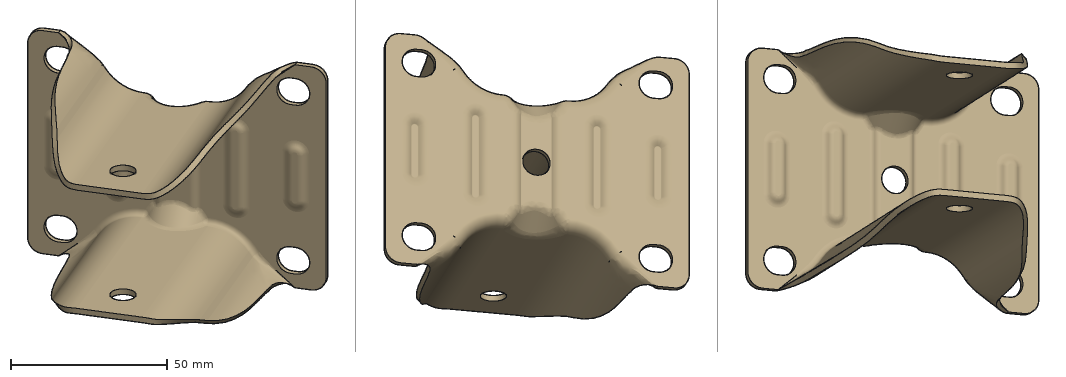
import cadquery as cq
import math

SHEET = 2.0
PLATE_LENGTH = 100.0
PLATE_HEIGHT = 79.3
PLATE_CORNER_RADIUS = 5.0
REACH = 74.0

FLAT_HALF_WIDTH = 11.0
FLAT_INNER_Z = 21.0
FLARE_ANGLE = math.radians(54)
FLARE_INNER_RADIUS = 17.0
FLARE_STRAIGHT = 2.3
COUNTER_INNER_RADIUS = 19.0

BEND_INNER_RADIUS = 2.0
ROOT_DEPTH = 12.0

WING_TIP_X = 39.6
WING_BEND_HEIGHT = 8.5
WING_BEND_GROWTH = 1.5
WING_LEAD = 4.0

WING_EDGE = (28.2, SHEET + WING_BEND_HEIGHT)
LEG_ROOT_EDGE = (27.9, ROOT_DEPTH)
LEG_ROOT_DIRECTION = (-0.1, 1.0)
LEG_SIDE_POINTS = [(26.1, 30.0), (21.3, 45.4), (14.7, 57.2), (9.2, 67.0), (5.2, 72.2)]

GUSSET_RADIUS = 12.0
GUSSET_SETBACK = 8.0

BEAD_RISE = 1.4
FLANK_FOOT_RADIUS = 2.8
FLANK_TOP_RADIUS = 2.5
BEAD_TOP_HALF_WIDTH = 0.9
INNER_BEAD = (20.0, 13.2)
OUTER_BEAD = (40.0, 8.2)
CHANNEL_FOOT_RADIUS = 2.0
CHANNEL_TOP_HALF_WIDTH = 4.8
CHANNEL_HALF_LENGTH = 19.0

CENTER_HOLE = 9.0
AXLE_HOLE = 8.4
AXLE_DEPTH = 60.0
MOUNT_SLOT_LENGTH = 11.0
MOUNT_SLOT_WIDTH = 9.4
MOUNT_SPACING_X = 78.0
MOUNT_SPACING_Z = 60.0

TOLERANCE = 0.01
WING_FIT = 0.01
JOIN_TOLERANCE = 0.005
WING_ROWS = 10
WING_COLUMNS = 20
OUTLINE_SAMPLES = 40
STRIP_MARGIN = 1.0
STRIP_END = LEG_ROOT_EDGE[0] + STRIP_MARGIN


SIN_FLARE = math.sin(FLARE_ANGLE)
COS_FLARE = math.cos(FLARE_ANGLE)
MID = SHEET / 2
ARC_LENGTH = (FLARE_INNER_RADIUS - MID) * FLARE_ANGLE
STRAIGHT_END = ARC_LENGTH + FLARE_STRAIGHT


def section_point(distance, offset):
    """XZ point at a mid-sheet distance from the flat's end, offset outward from the inner face."""
    flare_radius = FLARE_INNER_RADIUS - offset
    center_z = FLAT_INNER_Z + FLARE_INNER_RADIUS
    if distance <= ARC_LENGTH:
        angle = distance / (FLARE_INNER_RADIUS - MID)
        return (FLAT_HALF_WIDTH + flare_radius * math.sin(angle), center_z - flare_radius * math.cos(angle))
    x = FLAT_HALF_WIDTH + flare_radius * SIN_FLARE
    z = center_z - flare_radius * COS_FLARE
    run = min(distance - ARC_LENGTH, FLARE_STRAIGHT)
    x += run * COS_FLARE
    z += run * SIN_FLARE
    if distance <= STRAIGHT_END:
        return (x, z)
    turn = (distance - STRAIGHT_END) / (COUNTER_INNER_RADIUS + MID)
    radius = COUNTER_INNER_RADIUS + offset
    angle = FLARE_ANGLE - turn
    return (x + radius * (SIN_FLARE - math.sin(angle)), z + radius * (math.cos(angle) - COS_FLARE))


def spatial(point, depth):
    """XZ section point placed at a depth below the plate's back face."""
    return cq.Vector(point[0], -depth, point[1])


INNER_END = section_point(STRAIGHT_END, 0)
FOOT_END = section_point(STRAIGHT_END, -BEND_INNER_RADIUS)
CORE_CORNER = section_point(STRAIGHT_END, -2 * BEND_INNER_RADIUS)


def bead_half_profile(top_half_width, foot_radius, top_radius, offset):
    """Half of a bead's XY cross-section, at an offset from the plate's front skin toward its back.

    Flat top, then an S-shaped flank of two tangent arcs that keep their centers at every offset.
    """
    skin = -SHEET + offset
    turn = math.acos(1 - BEAD_RISE / (foot_radius + top_radius))
    foot_half_width = top_half_width + (foot_radius + top_radius) * math.sin(turn)
    outer_radius = foot_radius + offset
    inner_radius = top_radius - offset
    top = skin - BEAD_RISE

    def on_foot(angle):
        return (foot_half_width - outer_radius * math.sin(angle), skin - outer_radius * (1 - math.cos(angle)))

    def on_top(angle):
        return (top_half_width + inner_radius * math.sin(angle), top + inner_radius * (1 - math.cos(angle)))

    return (
        cq.Workplane("XY")
        .moveTo(0, skin)
        .lineTo(0, top)
        .lineTo(top_half_width, top)
        .threePointArc(on_top(turn / 2), on_top(turn))
        .threePointArc(on_foot(turn / 2), on_foot(0))
        .close()
    )


def bead(half_length, offset):
    """Upper half of an upright bead with a rounded end, centered on the Y axis."""
    shape = (BEAD_TOP_HALF_WIDTH, FLANK_FOOT_RADIUS, FLANK_TOP_RADIUS, offset)
    side = bead_half_profile(*shape).extrude(half_length)
    end = bead_half_profile(*shape).revolve(360, (0, 0), (0, 1)).translate((0, 0, half_length))
    return side.union(side.mirror("YZ")).union(end)


def channel():
    """Upper half of the plate's raised strip, which runs into the gusset."""
    shape = (CHANNEL_TOP_HALF_WIDTH, CHANNEL_FOOT_RADIUS, FLANK_TOP_RADIUS, 0)
    side = bead_half_profile(*shape).extrude(CHANNEL_HALF_LENGTH)
    return side.union(side.mirror("YZ"))


def gusset():
    """45-degree cylinder across the bend; its crown is the gusset's ridge."""
    drop = GUSSET_SETBACK / 2 - GUSSET_RADIUS * math.sqrt(0.5)
    direction = cq.Vector(0, -1, 1).normalized()
    base = cq.Vector(0, -SHEET - drop, FLAT_INNER_Z - drop)
    start = base - direction * REACH
    return cq.Workplane(cq.Solid.makeCylinder(GUSSET_RADIUS, 2 * REACH, start, direction))


def core_cavity():
    """Quarter of the space bounded by the core's inner faces, with the bends rounded."""
    block = (
        cq.Workplane("XZ", origin=(0, -SHEET, 0))
        .lineTo(0, FLAT_INNER_Z)
        .lineTo(FLAT_HALF_WIDTH, FLAT_INNER_Z)
        .threePointArc(section_point(ARC_LENGTH / 2, 0), section_point(ARC_LENGTH, 0))
        .lineTo(*INNER_END)
        .lineTo(*CORE_CORNER)
        .lineTo(CORE_CORNER[0], 0)
        .close()
        .extrude(ROOT_DEPTH - SHEET)
        .cut(channel())
        .cut(gusset())
    )
    bend_edges = []
    for edge in block.edges().vals():
        center = edge.Center()
        on_plate = edge.BoundingBox().ymin > -SHEET - TOLERANCE
        along_leg = center.z > FLAT_INNER_Z - TOLERANCE and center.x < INNER_END[0] - TOLERANCE
        around_gusset = edge.geomType() in ("ELLIPSE", "BSPLINE")
        if around_gusset or (on_plate and along_leg):
            bend_edges.append(edge)
    return block.newObject(bend_edges).fillet(BEND_INNER_RADIUS)


def core():
    """Sheet wrapped around the core cavity, open toward the other quarters, the leg and the plate end."""
    cavity = core_cavity()
    open_faces = []
    for face in cavity.faces("%PLANE").vals():
        normal = face.normalAt()
        if normal.x > TOLERANCE or min(normal.toTuple()) < TOLERANCE - 1:
            open_faces.append(face)
    return cavity.newObject(open_faces).shell(SHEET)


WING_START = (FOOT_END[0] + WING_LEAD * COS_FLARE, FOOT_END[1] + WING_LEAD * SIN_FLARE)
WING_TIP = (WING_TIP_X, PLATE_HEIGHT / 2)


def wing_foot(across):
    """Point on the curve where the wing's bend leaves the plate (quadratic Bezier)."""
    weights = ((1 - across) ** 2, 2 * across * (1 - across), across**2)
    corners = (FOOT_END, WING_START, WING_TIP)
    x = sum(weight * corner[0] for weight, corner in zip(weights, corners))
    z = sum(weight * corner[1] for weight, corner in zip(weights, corners))
    return (x, z)


def wing_point(across, down, offset):
    """Point of a wing face: across runs to the side edge, down 0-1 is the bend and 1-2 the leg below it."""
    base = SHEET - offset
    growth = (WING_BEND_HEIGHT - BEND_INNER_RADIUS) * across**WING_BEND_GROWTH
    bend_end = SHEET + BEND_INNER_RADIUS + growth
    below = max(down - 1, 0)
    edge_distance = WING_EDGE[0] + below * (LEG_ROOT_EDGE[0] - WING_EDGE[0])
    leg = section_point(STRAIGHT_END + across * (edge_distance - STRAIGHT_END), offset)
    if down > 1:
        return spatial(leg, bend_end + below * (ROOT_DEPTH - bend_end))
    angle = down * math.pi / 2
    foot = wing_foot(across)
    plan = [start + (end - start) * math.sin(angle) for start, end in zip(foot, leg)]
    return spatial(plan, base + (bend_end - base) * (1 - math.cos(angle)))


def wing_face(offset):
    """Smooth face through a grid of wing points; down spans 0 to 2."""
    grid = [
        [wing_point(i / WING_ROWS, 2 * j / WING_COLUMNS, offset) for j in range(WING_COLUMNS + 1)]
        for i in range(WING_ROWS + 1)
    ]
    return cq.Face.makeSplineApprox(grid, tol=WING_FIT)


def wing():
    """Curved sheet that joins one plate corner to one leg corner."""
    inner = wing_face(0)
    outer = wing_face(SHEET)
    rims = []
    for edge in inner.Edges():
        opposite = min(outer.Edges(), key=lambda other: (other.Center() - edge.Center()).Length)
        rims.append(cq.Face.makeRuledSurface(edge, opposite))
    return cq.Solid.makeSolid(cq.Shell.makeShell([inner, outer] + rims))


def plate_end():
    """Quarter of the plate beyond the core, with its rounded corner."""
    return (
        cq.Workplane("XZ")
        .moveTo(CORE_CORNER[0], 0)
        .lineTo(*CORE_CORNER)
        .lineTo(*FOOT_END)
        .bezier([FOOT_END, WING_START, WING_TIP])
        .lineTo(PLATE_LENGTH / 2, PLATE_HEIGHT / 2)
        .lineTo(PLATE_LENGTH / 2, 0)
        .close()
        .extrude(SHEET)
        .edges("|Y and >X and >Z")
        .fillet(PLATE_CORNER_RADIUS)
    )


def leg_strip():
    """Untrimmed right half of the upper leg below the bend."""
    stations = (ARC_LENGTH / 2, ARC_LENGTH, STRAIGHT_END, (STRAIGHT_END + STRIP_END) / 2, STRIP_END)
    inner = [section_point(station, 0) for station in stations]
    outer = [section_point(station, SHEET) for station in stations]
    return (
        cq.Workplane("XZ", origin=(0, -ROOT_DEPTH, 0))
        .moveTo(0, FLAT_INNER_Z)
        .lineTo(FLAT_HALF_WIDTH, FLAT_INNER_Z)
        .threePointArc(inner[0], inner[1])
        .lineTo(*inner[2])
        .threePointArc(inner[3], inner[4])
        .lineTo(*outer[4])
        .threePointArc(outer[3], outer[2])
        .lineTo(*outer[1])
        .threePointArc(outer[0], (FLAT_HALF_WIDTH, FLAT_INNER_Z + SHEET))
        .lineTo(0, FLAT_INNER_Z + SHEET)
        .close()
        .extrude(REACH + STRIP_MARGIN - ROOT_DEPTH)
    )


def leg_rim(outline, offset):
    """The unrolled outline wrapped onto the leg at an offset, run past the strip at both ends."""
    samples = [outline.positionAt(i / OUTLINE_SAMPLES) for i in range(OUTLINE_SAMPLES + 1)]
    side = cq.Edge.makeSpline([spatial(section_point(p.x, offset), p.y) for p in samples])
    start = side.startPoint()
    tip = side.endPoint()
    lead_in = cq.Edge.makeLine(start + cq.Vector(0, STRIP_MARGIN, 0), start)
    end_cut = cq.Edge.makeLine(tip, tip - cq.Vector(FLAT_HALF_WIDTH + STRIP_MARGIN, 0, 0))
    return (lead_in, side, end_cut)


def leg_half():
    """Right half of the upper leg, cut square to the sheet along the unrolled outline."""
    outline = cq.Edge.makeSpline(
        [cq.Vector(*point) for point in (LEG_ROOT_EDGE, *LEG_SIDE_POINTS, (0, REACH))],
        tangents=[cq.Vector(*LEG_ROOT_DIRECTION), cq.Vector(-1, 0)],
    )
    inner_rim = leg_rim(outline, -STRIP_MARGIN)
    outer_rim = leg_rim(outline, SHEET + STRIP_MARGIN)
    walls = [cq.Face.makeRuledSurface(*pair) for pair in zip(inner_rim, outer_rim)]
    pieces = leg_strip().val().split(cq.Shell.makeShell(walls)).Solids()
    return min(pieces, key=lambda piece: piece.Center().x)


def press_bead(sheet, x, half_length):
    """Raise a bead on the sheet's front and hollow its back by the same form."""
    place = (x, 0, 0)
    raised = sheet.union(bead(half_length, 0).translate(place))
    return raised.cut(bead(half_length, SHEET).translate(place))


def mount_slot():
    return (
        cq.Workplane("XZ")
        .center(MOUNT_SPACING_X / 2, MOUNT_SPACING_Z / 2)
        .slot2D(MOUNT_SLOT_LENGTH, MOUNT_SLOT_WIDTH)
        .extrude(SHEET)
    )


def formed_sheet():
    """Whole bent sheet, joined from one quarter and its mirror images."""
    core_sheet = press_bead(core(), *INNER_BEAD)
    end_sheet = press_bead(plate_end(), *OUTER_BEAD).cut(mount_slot())
    quarter = cq.Workplane(leg_half())
    for piece in (core_sheet, end_sheet, cq.Workplane(wing())):
        quarter = quarter.union(piece, tol=JOIN_TOLERANCE)
    half = quarter.union(quarter.mirror("YZ"))
    return half.union(half.mirror("XY"))


def drill_holes(body):
    """Center hole through the plate and axle hole through both legs."""
    center = cq.Workplane("XZ").circle(CENTER_HOLE / 2).extrude(ROOT_DEPTH)
    axle = cq.Workplane("XY").center(0, -AXLE_DEPTH).circle(AXLE_HOLE / 2).extrude(PLATE_HEIGHT, both=True)
    return body.cut(center).cut(axle)


result = cq.Workplane(drill_holes(formed_sheet()).solids().val())